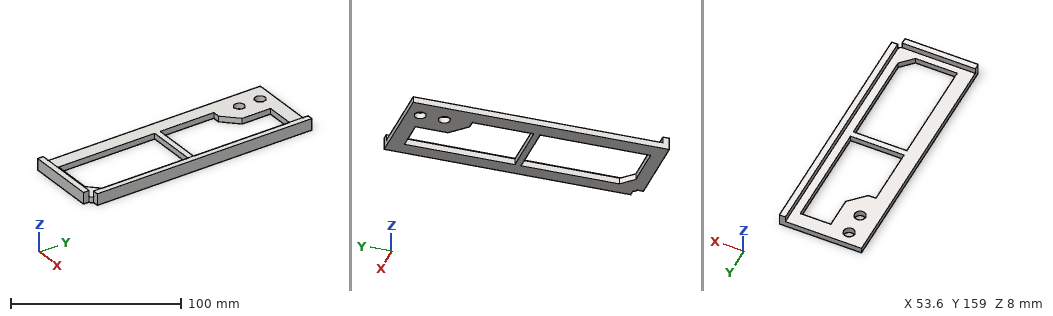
import cadquery as cq

width = 53.6
length = 159.0
height = 8.0
floor_thickness = 4.0

lip_width = 4.0
corner_gap = 1.9
floor_right = width - lip_width
floor_bottom = lip_width
lower_lip_end = floor_right - corner_gap
right_lip_start = floor_bottom + corner_gap

window_left = 9.7
window_right = 44.5
window_bottom = 8.5
window_top = length - 9.7
crossbar_bottom = 77.0
crossbar_top = 81.0
lower_window_chamfer = 7.6

pad_right = 24.6
pad_bottom = length - 39.9
pad_chamfer = 10.0

hole_diameter = 7.0
hole_x = 12.1
hole_spacing = 15.0
upper_hole_y = length - 8.5


def prism(points, depth):
    return cq.Workplane("XY").polyline(points).close().extrude(depth)


def make_frame():
    floor = (
        cq.Workplane("XY")
        .lineTo(lower_lip_end, 0)
        .lineTo(lower_lip_end, floor_bottom)
        .radiusArc((floor_right, right_lip_start), -corner_gap)
        .lineTo(width, right_lip_start)
        .lineTo(width, length)
        .lineTo(0, length)
        .close()
        .extrude(floor_thickness)
    )
    lower_lip = cq.Workplane("XY").box(lower_lip_end, lip_width, height, centered=False)
    right_lip = (
        cq.Workplane("XY")
        .box(lip_width, length - right_lip_start, height, centered=False)
        .translate((floor_right, right_lip_start, 0))
    )
    return floor.union(lower_lip).union(right_lip)


def make_lower_window():
    return prism(
        [
            (window_left, window_bottom),
            (window_right - lower_window_chamfer, window_bottom),
            (window_right, window_bottom + lower_window_chamfer),
            (window_right, crossbar_bottom),
            (window_left, crossbar_bottom),
        ],
        floor_thickness,
    )


def make_upper_window():
    return prism(
        [
            (window_left, crossbar_top),
            (window_right, crossbar_top),
            (window_right, window_top),
            (pad_right, window_top),
            (pad_right, pad_bottom + pad_chamfer),
            (pad_right - pad_chamfer, pad_bottom),
            (window_left, pad_bottom),
        ],
        floor_thickness,
    )


def make_holes():
    return (
        cq.Workplane("XY")
        .pushPoints([(hole_x, upper_hole_y), (hole_x, upper_hole_y - hole_spacing)])
        .circle(hole_diameter / 2)
        .extrude(floor_thickness)
    )


result = make_frame().cut(make_lower_window()).cut(make_upper_window()).cut(make_holes())